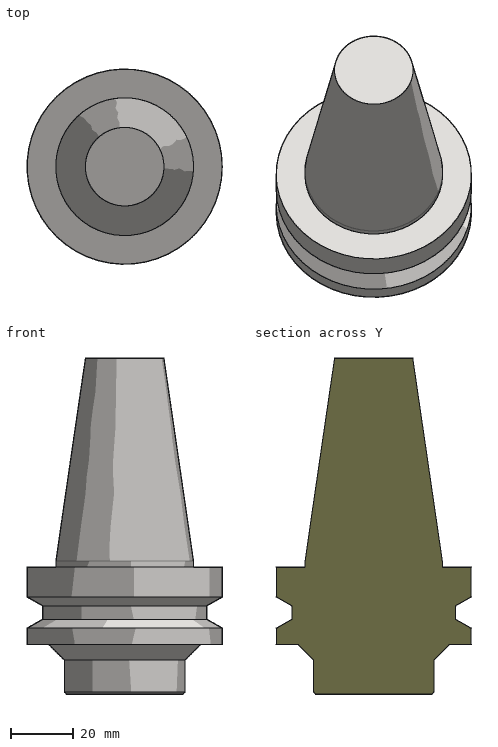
import cadquery as cq

nose_diameter = 39.0
collar_diameter = 49.0
flange_diameter = 63.0
groove_diameter = 53.0
gauge_diameter = 44.4

total_length = 108.4
nose_chamfer = 0.8
nose_length = 11.1
collar_length = 5.0
lower_rim_length = 5.3
groove_flank_length = 2.8
groove_floor_length = 4.3
upper_rim_length = 9.6
gauge_land_length = 2.0

taper_rate = 7 / 24

collar_top = nose_length + collar_length
lower_rim_top = collar_top + lower_rim_length
groove_floor_bottom = lower_rim_top + groove_flank_length
groove_floor_top = groove_floor_bottom + groove_floor_length
upper_rim_bottom = groove_floor_top + groove_flank_length
flange_top = upper_rim_bottom + upper_rim_length
gauge_height = flange_top + gauge_land_length
taper_end_diameter = gauge_diameter - taper_rate * (total_length - gauge_height)

profile = [
    (nose_diameter - 2 * nose_chamfer, 0),
    (nose_diameter, nose_chamfer),
    (nose_diameter, nose_length),
    (collar_diameter, collar_top),
    (flange_diameter, collar_top),
    (flange_diameter, lower_rim_top),
    (groove_diameter, groove_floor_bottom),
    (groove_diameter, groove_floor_top),
    (flange_diameter, upper_rim_bottom),
    (flange_diameter, flange_top),
    (gauge_diameter, flange_top),
    (gauge_diameter, gauge_height),
    (taper_end_diameter, total_length),
]

half_section = [(0, 0)]
half_section += [(diameter / 2, height) for diameter, height in profile]
half_section += [(0, total_length)]
result = cq.Workplane("XZ").polyline(half_section).close().revolve(360, (0, 0, 0), (0, 1, 0))